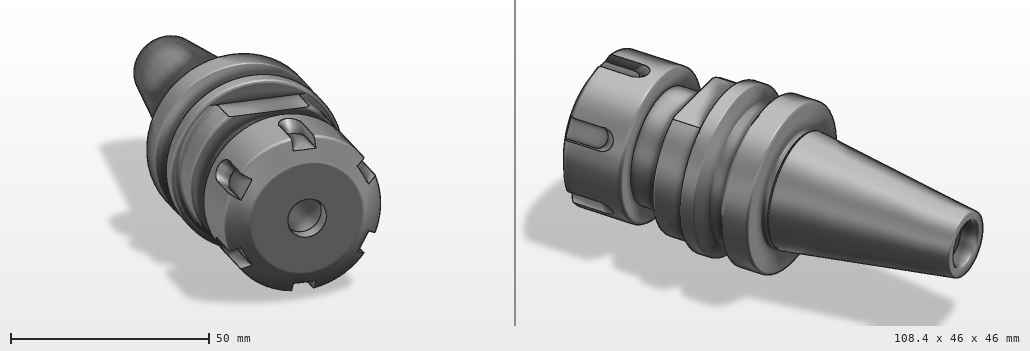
import cadquery as cq
import math


gauge_diameter = 31.75
taper_length = 48.4
taper_rate = 7 / 24
tip_fillet = 0.5
relief_diameter = 31.15
relief_start = 0.5
flange_root_fillet = 0.8

through_diameter = 10.3
pilot_diameter = 12.5
pilot_depth = 5.1
pilot_fillet = 0.8
undercut_diameter = 13.1
undercut_length = 2.0
drill_cone_angle = 45

flange_diameter = 46.0
flange_start = 2.0
flange_end = 22.0
groove_center = 13.55
groove_floor_diameter = 38.0
groove_floor_width = 3.5
groove_wall_angle = 60
rim_fillet = 0.8
groove_rim_fillet = 0.6
groove_floor_fillet = 0.4

collar_diameter = 42.0
collar_end = 31.0
collar_fillet = 0.8
collar_root_fillet = 1.0
across_flats = 36.0
neck_diameter = 32.0
neck_root_fillet = 0.8

nut_diameter = 42.0
nut_start = 40.0
nut_end = 60.0
nut_face_diameter = 30.2
nose_cone_angle = 60
nose_wall = 4.0
nut_back_fillet = 1.0
nut_shoulder_fillet = 1.2
nut_face_fillet = 1.5

slot_count = 6
slot_width = 6.0
slot_floor_radius = 18.0
slot_floor_start = 46.9
slot_end_angle = 45
cutter_clearance = 1.0

neck_end = nut_end - nose_wall


def revolve_about_x(points):
    """Turn a closed outline of (x, radius) points about the X axis."""
    return cq.Workplane("XY").polyline(points).close().revolve(360, (0, 0, 0), (1, 0, 0))


def fillet_circles(body, radius, circles):
    """Round the circular edges found at the given (x, diameter) places."""
    tolerance = 1e-4

    def is_wanted(edge):
        if edge.geomType() != "CIRCLE":
            return False
        x = edge.Center().x
        diameter = 2 * edge.radius()
        return any(abs(x - cx) < tolerance and abs(diameter - cd) < tolerance for cx, cd in circles)

    wanted = [edge for edge in body.edges().vals() if is_wanted(edge)]
    return body.newObject(wanted).fillet(radius)


def make_holder_blank():
    tip_x = -taper_length
    tip_diameter = gauge_diameter - taper_rate * taper_length
    groove_depth = (flange_diameter - groove_floor_diameter) / 2
    wall_run = groove_depth / math.tan(math.radians(groove_wall_angle))
    floor_start = groove_center - groove_floor_width / 2
    floor_end = groove_center + groove_floor_width / 2
    groove_start = floor_start - wall_run
    groove_end = floor_end + wall_run

    outline = [
        (tip_x, 0),
        (tip_x, tip_diameter / 2),
        (0, gauge_diameter / 2),
        (relief_start, relief_diameter / 2),
        (flange_start, relief_diameter / 2),
        (flange_start, flange_diameter / 2),
        (groove_start, flange_diameter / 2),
        (floor_start, groove_floor_diameter / 2),
        (floor_end, groove_floor_diameter / 2),
        (groove_end, flange_diameter / 2),
        (flange_end, flange_diameter / 2),
        (flange_end, collar_diameter / 2),
        (collar_end, collar_diameter / 2),
        (collar_end, neck_diameter / 2),
        (neck_end, neck_diameter / 2),
        (neck_end, 0),
    ]
    blank = revolve_about_x(outline)

    rim_edges = [(x, flange_diameter) for x in (flange_start, flange_end)]
    groove_rim_edges = [(x, flange_diameter) for x in (groove_start, groove_end)]
    groove_floor_edges = [(x, groove_floor_diameter) for x in (floor_start, floor_end)]
    blank = fillet_circles(blank, tip_fillet, [(tip_x, tip_diameter)])
    blank = fillet_circles(blank, flange_root_fillet, [(flange_start, relief_diameter)])
    blank = fillet_circles(blank, rim_fillet, rim_edges)
    blank = fillet_circles(blank, groove_rim_fillet, groove_rim_edges)
    blank = fillet_circles(blank, groove_floor_fillet, groove_floor_edges)
    blank = fillet_circles(blank, collar_root_fillet, [(flange_end, collar_diameter)])
    blank = fillet_circles(blank, collar_fillet, [(collar_end, collar_diameter)])
    return fillet_circles(blank, neck_root_fillet, [(collar_end, neck_diameter)])


def cut_wrench_flats(holder):
    """Mill the two flats on the +Z and -Z sides of the collar."""
    flat_length = collar_end - flange_end
    stock = cq.Workplane("XY").box(
        flat_length, flange_diameter, flange_diameter, centered=(False, True, True)
    )
    kept = cq.Workplane("XY").box(
        flat_length, flange_diameter, across_flats, centered=(False, True, True)
    )
    return holder.cut(stock.cut(kept).translate((flange_end, 0, 0)))


def cut_draw_bar_hole(holder):
    mouth_x = -taper_length
    undercut_start = mouth_x + pilot_depth
    cone_start = undercut_start + undercut_length
    cone_drop = (undercut_diameter - through_diameter) / 2
    cone_end = cone_start + cone_drop / math.tan(math.radians(drill_cone_angle))
    hole = revolve_about_x([
        (mouth_x, 0),
        (mouth_x, pilot_diameter / 2),
        (undercut_start, pilot_diameter / 2),
        (undercut_start, undercut_diameter / 2),
        (cone_start, undercut_diameter / 2),
        (cone_end, through_diameter / 2),
        (neck_end, through_diameter / 2),
        (neck_end, 0),
    ])
    return fillet_circles(holder.cut(hole), pilot_fillet, [(mouth_x, pilot_diameter)])


def make_nut_blank():
    cone_drop = (nut_diameter - nut_face_diameter) / 2
    shoulder_x = nut_end - cone_drop / math.tan(math.radians(nose_cone_angle))
    blank = revolve_about_x([
        (nut_start, neck_diameter / 2),
        (nut_start, nut_diameter / 2),
        (shoulder_x, nut_diameter / 2),
        (nut_end, nut_face_diameter / 2),
        (nut_end, through_diameter / 2),
        (neck_end, through_diameter / 2),
        (neck_end, neck_diameter / 2),
    ])
    blank = fillet_circles(blank, nut_back_fillet, [(nut_start, nut_diameter)])
    blank = fillet_circles(blank, nut_shoulder_fillet, [(shoulder_x, nut_diameter)])
    return fillet_circles(blank, nut_face_fillet, [(nut_end, nut_face_diameter)])


def make_slot_cutter():
    """Flat-floored slot above +Z, open to the front, its round end leaning back as it rises."""
    half_width = slot_width / 2
    arc_center = slot_floor_start + half_width
    rise = nut_diameter / 2 - slot_floor_radius + cutter_clearance
    lean = rise / math.tan(math.radians(slot_end_angle))
    front = nut_end + 2 * lean
    floor = (
        cq.Workplane("XY")
        .workplane(offset=slot_floor_radius)
        .moveTo(front, -half_width)
        .lineTo(arc_center, -half_width)
        .threePointArc((slot_floor_start, 0), (arc_center, half_width))
        .lineTo(front, half_width)
        .close()
    )
    return cq.Solid.extrudeLinear(floor.val(), [], cq.Vector(-lean, 0, rise))


def cut_spanner_slots(nut):
    cutter = make_slot_cutter()
    for index in range(slot_count):
        angle = index * 360 / slot_count
        nut = nut.cut(cq.Workplane(cutter.rotate(cq.Vector(), cq.Vector(1, 0, 0), angle)))
    return nut


holder = cut_draw_bar_hole(cut_wrench_flats(make_holder_blank()))
nut = cut_spanner_slots(make_nut_blank())

result = cq.Compound.makeCompound([holder.val(), nut.val()])